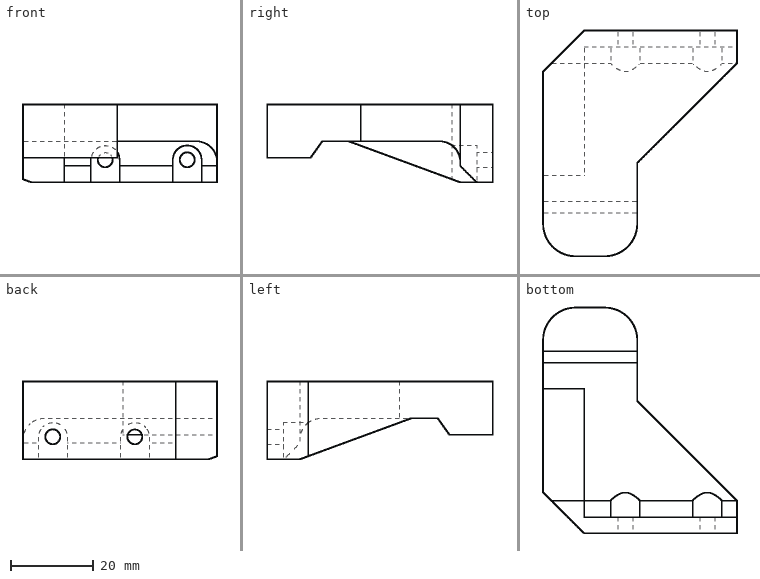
import cadquery as cq
import math

width = 47.25
length = 55.0
height = 19.0

arm_width = 23.0
corner_chamfer = 10.0
foot_radius = 8.0
flange_depth = 8.0
inner_corner_y = length - flange_depth - (width - arm_width)

ceiling_z = 10.0
rib_width = 10.0
wall_y = length - flange_depth
rib_end_y = 19.8
foot_z = 6.0
foot_end_y = 10.6
foot_ramp_end_y = 13.5
wall_fillet = 5.0
wall_chamfer = 4.0

hole_xs = (20.0, 40.0)
hole_z = 5.5
hole_diameter = 3.6
head_width = 7.0
seat_y = wall_y + wall_chamfer


def make_body():
    """Plan outline extruded to full height, with a rounded foot."""
    outline = [
        (0, 0),
        (arm_width, 0),
        (arm_width, inner_corner_y),
        (width, wall_y),
        (width, length),
        (corner_chamfer, length),
        (0, length - corner_chamfer),
    ]
    body = cq.Workplane("XY").polyline(outline).close().extrude(height)
    return body.edges("|Z and <Y").fillet(foot_radius)


def side_profile(x_start):
    """Sketch plane for Y-Z outlines swept along +X from x_start."""
    return cq.Workplane("YZ", origin=(x_start, 0, 0))


def make_rib_clearance():
    """Space below the foot, the arm and the sloping rib, across the full width."""
    return (
        side_profile(0)
        .moveTo(0, 0)
        .lineTo(wall_y, 0)
        .lineTo(rib_end_y, ceiling_z)
        .lineTo(foot_ramp_end_y, ceiling_z)
        .lineTo(foot_end_y, foot_z)
        .lineTo(0, foot_z)
        .close()
        .extrude(width)
    )


def make_pocket():
    """Space beside the rib, filleted at the ceiling and chamfered under the flange."""
    fillet_z = ceiling_z - wall_fillet
    arc_offset = wall_fillet * math.sqrt(0.5)
    arc_middle = (wall_y - wall_fillet + arc_offset, fillet_z + arc_offset)
    return (
        side_profile(rib_width)
        .moveTo(rib_end_y, 0)
        .lineTo(wall_y + wall_chamfer, 0)
        .lineTo(wall_y, wall_chamfer)
        .lineTo(wall_y, fillet_z)
        .threePointArc(arc_middle, (wall_y - wall_fillet, ceiling_z))
        .lineTo(rib_end_y, ceiling_z)
        .close()
        .extrude(width - rib_width)
    )


def make_screw_cut(x):
    """Through hole along Y and the round-topped recess for its screw head."""
    head_radius = head_width / 2
    hole = (
        cq.Workplane("XZ", origin=(x, length, hole_z))
        .circle(hole_diameter / 2)
        .extrude(length - rib_end_y)
    )
    recess = (
        cq.Workplane("XZ", origin=(x, seat_y, 0))
        .moveTo(-head_radius, 0)
        .lineTo(head_radius, 0)
        .lineTo(head_radius, hole_z)
        .threePointArc((0, hole_z + head_radius), (-head_radius, hole_z))
        .close()
        .extrude(seat_y - rib_end_y)
    )
    return hole.union(recess)


result = make_body().cut(make_rib_clearance()).cut(make_pocket())
for hole_x in hole_xs:
    result = result.cut(make_screw_cut(hole_x))